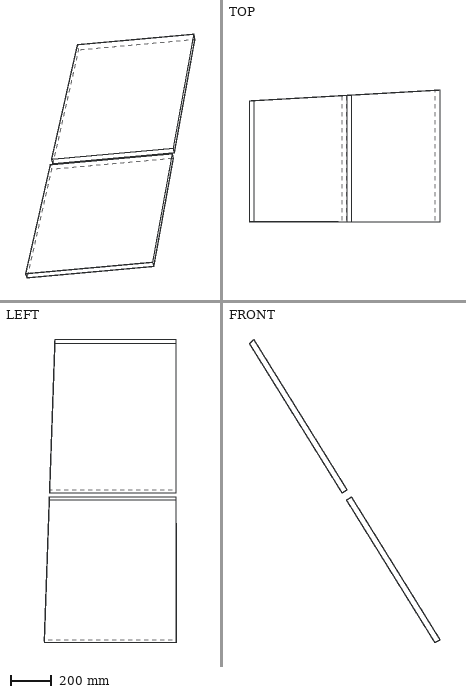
import cadquery as cq
import math

total_height = 1486.0
total_width = 935.0

slab_thickness = 30.0
slope_angle = 58.2
top_cut_angle = 43.0
joint_cut_angle = 90.0 - slope_angle
bottom_cut_angle = 26.0

upper_length = 862.0
panel_gap = 40.0

top_depth = 595.0
bottom_depth = 648.0
front_taper = 1.0

slope = math.radians(slope_angle)
top_shift = slab_thickness * math.tan(math.radians(joint_cut_angle - top_cut_angle))
bottom_shift = slab_thickness * math.tan(math.radians(joint_cut_angle - bottom_cut_angle))


def section_point(distance, height):
    """XZ point at a downhill distance and a height above the slab's underside."""
    x = distance * math.cos(slope) + height * math.sin(slope)
    z = underside_top_z - distance * math.sin(slope) + height * math.cos(slope)
    return (x, z)


underside_top_z = total_height + top_shift * math.sin(slope) - slab_thickness * math.cos(slope)
slab_length = underside_top_z / math.sin(slope)


def panel_strip(start, end, start_shift, end_shift):
    """Part of the slab between two end cuts, as deep as the widest edge."""
    corners = [
        section_point(start, 0),
        section_point(start + start_shift, slab_thickness),
        section_point(end + end_shift, slab_thickness),
        section_point(end, 0),
    ]
    return cq.Workplane("XZ").polyline(corners).close().extrude(-bottom_depth)


def tapered_envelope():
    """Vertical prism whose plan narrows toward the top edge of the slope."""
    plan = [
        (0, front_taper),
        (total_width, 0),
        (total_width, bottom_depth),
        (0, top_depth),
    ]
    return cq.Workplane("XY").polyline(plan).close().extrude(total_height)


def tapered_panel(start, end, start_shift, end_shift):
    """One panel with its front and back edges trimmed to the taper."""
    return panel_strip(start, end, start_shift, end_shift).intersect(tapered_envelope())


upper_panel = tapered_panel(0, upper_length, top_shift, 0)
lower_panel = tapered_panel(upper_length + panel_gap, slab_length, 0, bottom_shift)

result = cq.Compound.makeCompound([upper_panel.val(), lower_panel.val()])